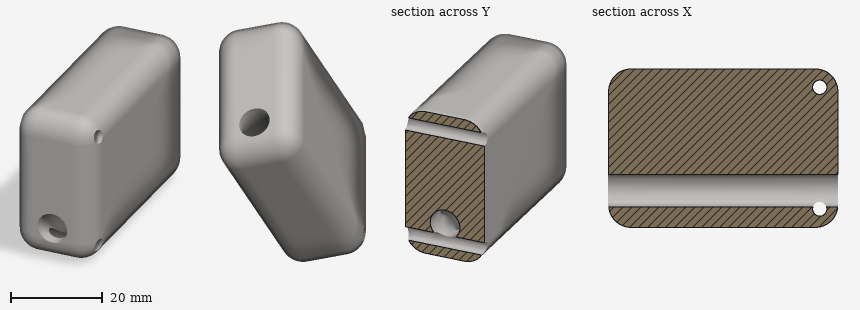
import cadquery as cq

width = 19.2
length = 50.0
height = 34.6
edge_radius = 5.0

bore_diameter = 7.0
bore_above_bottom = 8.0

cross_hole_diameter = 3.0
cross_hole_from_front = 4.0
cross_hole_spacing = 26.5


def rounded_block():
    """Box with every edge and corner rounded."""
    return cq.Workplane("XY").box(width, length, height).edges().fillet(edge_radius)


def lengthwise_bore():
    """Cylinder as long as the block, on its middle plane."""
    bore_z = bore_above_bottom - height / 2
    return (
        cq.Workplane("XZ")
        .center(0, bore_z)
        .circle(bore_diameter / 2)
        .extrude(length / 2, both=True)
    )


def cross_holes():
    """Two cylinders across the full width, one above the other."""
    hole_y = cross_hole_from_front - length / 2
    hole_centres = [(hole_y, side * cross_hole_spacing / 2) for side in (-1, 1)]
    return (
        cq.Workplane("YZ")
        .pushPoints(hole_centres)
        .circle(cross_hole_diameter / 2)
        .extrude(width / 2, both=True)
    )


result = rounded_block().cut(lengthwise_bore()).cut(cross_holes())